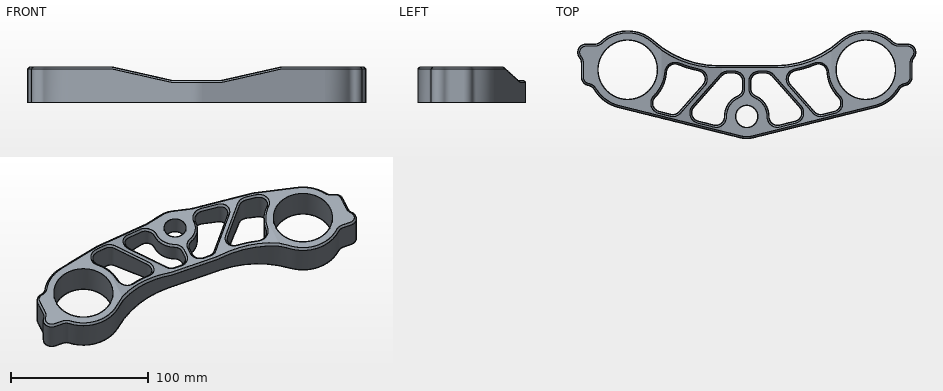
import cadquery as cq
import math


length = 245.5
height = 26.0
waist_height = 16.2
waist_half_width = 18.0
slope_end = 61.6
fork_x = 86.5
fork_y = 34.0
fork_bore = 43.0
fork_boss = 56.5
stem_bore = 16.0
stem_boss = 32.5
saddle_radius = 70.7
saddle_y = 36.8
corner = 6.1
ear_top = 18.7
ear_bottom = 11.5
ear_side = 33.6
rib = 6.0
rib_angle = 48.5
rib_offset = 36.0
front_wall = 4.5
rear_wall = 5.2
waist_rear_wall = 5.5
edge_chamfer = 1.5
blank_reach = 73.7

fork_radius = fork_boss / 2
stem_radius = stem_boss / 2
stem = (0.0, 0.0)
fork = (-fork_x, fork_y)


def shifted(line, distance):
    return (line[0], line[1] + distance)


def lines_meet(first, second):
    (a, p), (b, q) = first, second
    spread = math.sin(b - a)
    x = (p * math.sin(b) - q * math.sin(a)) / spread
    y = (q * math.cos(a) - p * math.cos(b)) / spread
    return (x, y)


def line_circle_meet(line, center, radius, side):
    """Crossing of a line and a circle, on the +1 or -1 side along the line's direction."""
    angle, offset = line
    gap = offset - center[0] * math.cos(angle) - center[1] * math.sin(angle)
    run = side * math.sqrt(radius**2 - gap**2)
    return (
        center[0] + gap * math.cos(angle) - run * math.sin(angle),
        center[1] + gap * math.sin(angle) + run * math.cos(angle),
    )


def circles_meet(center, radius, other, other_radius, side):
    """Crossing of two circles, to the left (+1) or right (-1) of the way from center to other."""
    span = math.dist(center, other)
    heading = math.atan2(other[1] - center[1], other[0] - center[0])
    along = (radius**2 - other_radius**2 + span**2) / (2 * span)
    offset = along + center[0] * math.cos(heading) + center[1] * math.sin(heading)
    return line_circle_meet((heading, offset), center, radius, side)


def tangent_heading(start, end):
    """Heading of the line that leaves one signed circle and joins the next."""
    (x0, y0), r0 = start
    (x1, y1), r1 = end
    lean = max(-1.0, min(1.0, (r1 - r0) / math.hypot(x1 - x0, y1 - y0)))
    return math.atan2(y1 - y0, x1 - x0) - math.asin(lean)


def on_circle(circle, heading):
    (x, y), radius = circle
    return (x + radius * math.sin(heading), y - radius * math.cos(heading))


def belt(circles):
    """Closed smooth outline around circles: radius > 0 turns left, radius < 0 turns right."""
    touching = 0.0002
    following = circles[1:] + circles[:1]
    headings = [tangent_heading(circle, after) for circle, after in zip(circles, following)]
    first_point = on_circle(circles[0], headings[-1])
    outline = cq.Workplane("XY").moveTo(*first_point)
    for i, circle in enumerate(circles):
        turn = math.copysign(1, circle[1])
        sweep = turn * ((turn * (headings[i] - headings[i - 1])) % (2 * math.pi))
        arc_middle = on_circle(circle, headings[i - 1] + sweep / 2)
        arc_end = on_circle(circle, headings[i])
        is_last = i == len(circles) - 1
        next_start = first_point if is_last else on_circle(following[i], headings[i])
        if math.dist(arc_end, next_start) < touching:
            outline = outline.threePointArc(arc_middle, next_start)
        else:
            outline = outline.threePointArc(arc_middle, arc_end)
            if not is_last:
                outline = outline.lineTo(*next_start)
    return outline.close()


front_heading = tangent_heading((fork, fork_radius), (stem, stem_radius))
front_normal = front_heading + math.pi / 2
front_inner = (front_normal, front_wall - stem_radius)
rib_line = (math.radians(rib_angle + 90), rib_offset)
saddle_center_y = saddle_y + saddle_radius
saddle = line_circle_meet((math.pi / 2, saddle_center_y), fork, fork_radius + saddle_radius, -1)


def outline_prism():
    tip = (corner - length / 2, fork_y + ear_top - corner)
    ear_x = -fork_x - ear_side
    lower_ear = (ear_x + corner, fork_y - ear_bottom + corner)
    fillet_reach = fork_radius + corner
    upper_fillet = line_circle_meet((math.pi / 2, fork_y + ear_top + corner), fork, fillet_reach, 1)
    side_fillet = line_circle_meet((0.0, ear_x - corner), tip, 2 * corner, -1)
    lower_fillet = circles_meet(fork, fillet_reach, lower_ear, 2 * corner, 1)
    left = [
        (saddle, -saddle_radius),
        (fork, fork_radius),
        (upper_fillet, -corner),
        (tip, corner),
        (side_fillet, -corner),
        (lower_ear, corner),
        (lower_fillet, -corner),
        (fork, fork_radius),
    ]
    right = [((-x, y), radius) for (x, y), radius in reversed(left)]
    return belt(left + [(stem, stem_radius)] + right).extrude(blank_reach, both=True)


def inner_pocket():
    rib_side = shifted(rib_line, -rib / 2 - corner)
    front_side = shifted(front_inner, corner)
    rib_x = -rib / 2 - corner
    rear_y = saddle_y - waist_rear_wall - corner
    reach = stem_radius + corner
    return belt([
        (lines_meet(rib_side, front_side), corner),
        (line_circle_meet(front_side, stem, reach, 1), corner),
        (stem, -stem_radius),
        (line_circle_meet((0.0, rib_x), stem, reach, 1), corner),
        ((rib_x, rear_y), corner),
        (lines_meet(rib_side, (math.pi / 2, rear_y)), corner),
    ]).extrude(blank_reach, both=True)


def outer_pocket():
    rib_side = shifted(rib_line, rib / 2 + corner)
    front_side = shifted(front_inner, corner)
    rear_radius = saddle_radius + rear_wall
    fork_reach = fork_radius + corner
    rear_reach = rear_radius + corner
    return belt([
        (fork, -fork_radius),
        (line_circle_meet(front_side, fork, fork_reach, -1), corner),
        (lines_meet(rib_side, front_side), corner),
        (line_circle_meet(rib_side, saddle, rear_reach, 1), corner),
        (saddle, -rear_radius),
        (circles_meet(fork, fork_reach, saddle, rear_reach, -1), corner),
    ]).extrude(blank_reach, both=True)


def bores():
    forks = cq.Workplane("XY").pushPoints([fork, (fork_x, fork_y)]).circle(fork_bore / 2).extrude(height)
    return forks.union(cq.Workplane("XY").circle(stem_bore / 2).extrude(height))


def pocketed_prism():
    """Outline with its four pockets, standing taller and deeper than the finished part."""
    prism = outline_prism()
    for pocket in (inner_pocket(), outer_pocket()):
        prism = prism.cut(pocket).cut(pocket.mirror("YZ"))
    return prism


def topped(prism, center_z, rise):
    """The prism cut off at a plane that climbs by rise per unit of X, with its rims chamfered."""
    space_below = (
        cq.Workplane("XZ")
        .polyline([
            (-length, -2 * blank_reach),
            (length, -2 * blank_reach),
            (length, center_z + rise * length),
            (-length, center_z - rise * length),
        ])
        .close()
        .extrude(length, both=True)
    )
    upward = cq.selectors.DirectionMinMaxSelector(cq.Vector(-rise, 0, 1))
    return prism.intersect(space_below).faces(upward).edges().chamfer(edge_chamfer)


prism = pocketed_prism()
slope = (height - waist_height) / (slope_end - waist_half_width)
slope_center_z = waist_height - slope * waist_half_width
bridge = topped(prism, waist_height, 0)
for rise in (slope, -slope):
    bridge = bridge.union(topped(prism, slope_center_z, rise))

above_base = cq.Workplane("XY").box(2 * length, 2 * length, height, centered=(True, True, False))
body = topped(prism, height, 0).intersect(bridge).intersect(above_base)
result = body.cut(bores())